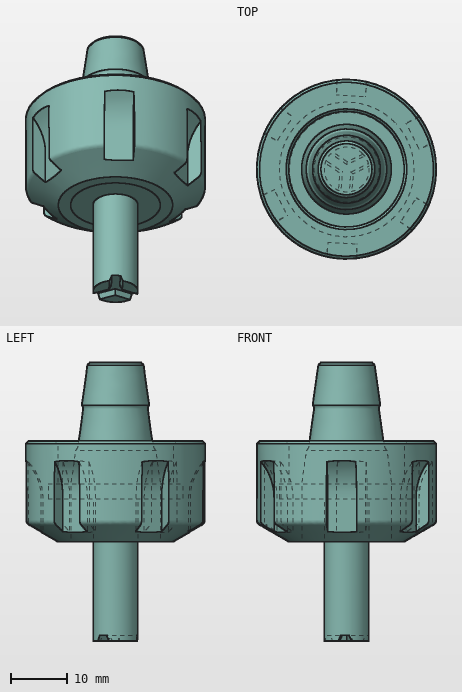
import cadquery as cq
import math


NUT_RADIUS = 16.0
NUT_HEIGHT = 18.0
NUT_EDGE_CHAMFER = 0.5
NUT_LOWER_RADIUS = 10.2
NUT_CONE_ANGLE = 30.0
NUT_CONE_ROUNDING = 1.0
NUT_MOUTH_RADIUS = 10.3
NUT_MOUTH_CHAMFER = 0.45
NUT_FLOOR_Z = 7.7
UNDERCUT_RADIUS = 12.0
UNDERCUT_TOP_Z = 10.4

SLOT_COUNT = 6
SLOT_FLOOR_WIDTH = 5.15
SLOT_DRAFT = 3.0
SLOT_FLOOR_RADIUS = 13.15
SLOT_STRAIGHT_TOP_Z = 7.95
SLOT_TOP_Z = 14.5

COLLET_SEAT_RADIUS = 8.0
COLLET_PROTRUSION = 14.0
COLLET_TOP_Z = NUT_HEIGHT + COLLET_PROTRUSION
COLLET_TAPER = 8.0
COLLET_TOP_CHAMFER = 0.5
CONE_BOTTOM_Z = 10.5
RELIEF_START_DEPTH = 7.6
RELIEF_LENGTH = 8.05
RELIEF_TOP_Z = COLLET_TOP_Z - RELIEF_START_DEPTH
RELIEF_BOTTOM_Z = RELIEF_TOP_Z - RELIEF_LENGTH
RELIEF_DEPTH = 0.34
RELIEF_UPPER_HEIGHT = 0.7
RELIEF_UPPER_ROUNDING = 0.8
RELIEF_LOWER_HEIGHT = 0.8
RELIEF_LOWER_ROUNDING = 1.4

SHANK_RADIUS = 4.0
SHANK_PROTRUSION = 17.66
SHANK_BOTTOM_Z = -SHANK_PROTRUSION
SHANK_TOP_Z = NUT_FLOOR_Z
NOTCH_COUNT = 3
NOTCH_BASE_WIDTH = 2.4
NOTCH_TOP_WIDTH = 1.5
NOTCH_HEIGHT = 1.0

CUT_CLEARANCE = 1.0
FRONT_ANGLE = 270.0
SLOT_TURN = 3.3
NOTCH_TURN = 4.0


def slot_section():
    """Drafted slot section on the +X side, at the height where the flat floor ends."""
    outer_radius = NUT_RADIUS + CUT_CLEARANCE
    floor_half = SLOT_FLOOR_WIDTH / 2
    outer_half = floor_half + (outer_radius - SLOT_FLOOR_RADIUS) * math.tan(math.radians(SLOT_DRAFT))
    return (
        cq.Workplane("XY", origin=(0, 0, SLOT_STRAIGHT_TOP_Z))
        .moveTo(SLOT_FLOOR_RADIUS, -floor_half)
        .lineTo(outer_radius, -outer_half)
        .lineTo(outer_radius, outer_half)
        .lineTo(SLOT_FLOOR_RADIUS, floor_half)
        .close()
    )


def make_slot_cutter():
    """Channel on the +X side whose floor curves outward to the nut surface at its upper end."""
    straight = slot_section().extrude(-(SLOT_STRAIGHT_TOP_Z + CUT_CLEARANCE))
    rise = SLOT_TOP_Z - SLOT_STRAIGHT_TOP_Z
    depth = NUT_RADIUS - SLOT_FLOOR_RADIUS
    sweep_radius = (rise**2 + depth**2) / (2 * depth)
    axis_x = SLOT_FLOOR_RADIUS + sweep_radius
    curved = slot_section().revolve(90, (axis_x, 0, 0), (axis_x, 1, 0))
    return straight.union(curved)


def make_nut():
    cone_slope = math.tan(math.radians(NUT_CONE_ANGLE))
    cone_top_z = (NUT_RADIUS - NUT_LOWER_RADIUS) * cone_slope
    body = (
        cq.Workplane("XZ")
        .moveTo(0, 0)
        .lineTo(NUT_LOWER_RADIUS, 0)
        .lineTo(NUT_RADIUS, cone_top_z)
        .lineTo(NUT_RADIUS, NUT_HEIGHT)
        .lineTo(0, NUT_HEIGHT)
        .close()
        .revolve()
    )
    body = body.faces(">Z").chamfer(NUT_EDGE_CHAMFER)
    cone_edge = cq.selectors.NearestToPointSelector((0, 0, cone_top_z))
    body = body.edges(cone_edge).fillet(NUT_CONE_ROUNDING)
    mouth = (
        cq.Workplane("XY", origin=(0, 0, NUT_FLOOR_Z))
        .circle(NUT_MOUTH_RADIUS)
        .extrude(NUT_HEIGHT - NUT_FLOOR_Z)
    )
    undercut = (
        cq.Workplane("XY", origin=(0, 0, NUT_FLOOR_Z))
        .circle(UNDERCUT_RADIUS)
        .extrude(UNDERCUT_TOP_Z - NUT_FLOOR_Z)
    )
    through_hole = cq.Workplane("XY").circle(COLLET_SEAT_RADIUS).extrude(NUT_FLOOR_Z)
    body = body.cut(mouth).cut(undercut).cut(through_hole)
    mouth_edge = cq.selectors.RadiusNthSelector(0)
    body = body.faces(">Z").edges(mouth_edge).chamfer(NUT_MOUTH_CHAMFER)
    slot_cutter = make_slot_cutter()
    for index in range(SLOT_COUNT):
        angle = FRONT_ANGLE - SLOT_TURN + index * 360 / SLOT_COUNT
        body = body.cut(slot_cutter.rotate((0, 0, 0), (0, 0, 1), angle))
    return body


def collet_radius(z):
    """Radius of the main collet cone, which widens down to the seat radius."""
    return COLLET_SEAT_RADIUS - (z - CONE_BOTTOM_Z) * math.tan(math.radians(COLLET_TAPER))


def make_collet():
    relief_upper_z = RELIEF_TOP_Z - RELIEF_UPPER_HEIGHT
    relief_lower_z = RELIEF_BOTTOM_Z + RELIEF_LOWER_HEIGHT
    relief_upper_end = (collet_radius(relief_upper_z) - RELIEF_DEPTH, relief_upper_z)
    relief_lower_end = (collet_radius(relief_lower_z) - RELIEF_DEPTH, relief_lower_z)
    chamfer_z = COLLET_TOP_Z - COLLET_TOP_CHAMFER
    body = (
        cq.Workplane("XZ")
        .moveTo(0, 0)
        .lineTo(COLLET_SEAT_RADIUS, 0)
        .lineTo(COLLET_SEAT_RADIUS, CONE_BOTTOM_Z)
        .lineTo(collet_radius(RELIEF_BOTTOM_Z), RELIEF_BOTTOM_Z)
        .radiusArc(relief_lower_end, RELIEF_LOWER_ROUNDING)
        .lineTo(*relief_upper_end)
        .radiusArc((collet_radius(RELIEF_TOP_Z), RELIEF_TOP_Z), RELIEF_UPPER_ROUNDING)
        .lineTo(collet_radius(chamfer_z), chamfer_z)
        .lineTo(collet_radius(chamfer_z) - COLLET_TOP_CHAMFER, COLLET_TOP_Z)
        .lineTo(0, COLLET_TOP_Z)
        .close()
        .revolve()
    )
    shank_bore = cq.Workplane("XY").circle(SHANK_RADIUS).extrude(SHANK_TOP_Z)
    return body.cut(shank_bore)


def make_shank():
    body = (
        cq.Workplane("XY", origin=(0, 0, SHANK_BOTTOM_Z))
        .circle(SHANK_RADIUS)
        .extrude(SHANK_TOP_Z - SHANK_BOTTOM_Z)
    )
    notch = (
        cq.Workplane("YZ", origin=(0, 0, SHANK_BOTTOM_Z))
        .moveTo(-NOTCH_BASE_WIDTH / 2, 0)
        .lineTo(NOTCH_BASE_WIDTH / 2, 0)
        .lineTo(NOTCH_TOP_WIDTH / 2, NOTCH_HEIGHT)
        .lineTo(-NOTCH_TOP_WIDTH / 2, NOTCH_HEIGHT)
        .close()
        .extrude(SHANK_RADIUS + CUT_CLEARANCE)
    )
    for index in range(NOTCH_COUNT):
        angle = FRONT_ANGLE - NOTCH_TURN + index * 360 / NOTCH_COUNT
        body = body.cut(notch.rotate((0, 0, 0), (0, 0, 1), angle))
    return body


nut = make_nut()
collet = make_collet()
shank = make_shank()
result = cq.Compound.makeCompound([nut.val(), collet.val(), shank.val()])